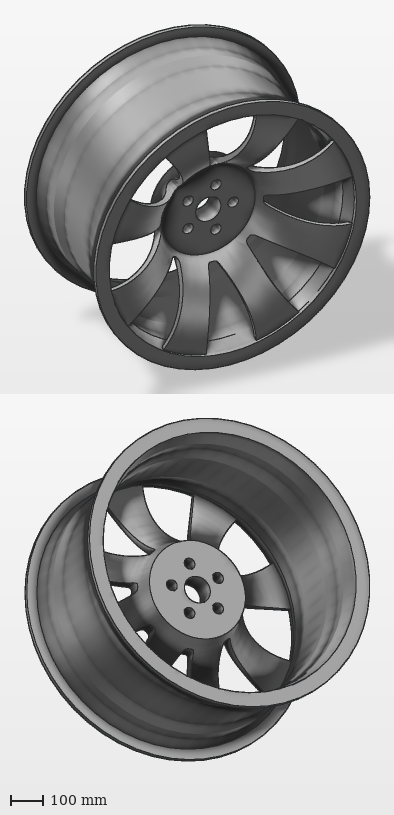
import cadquery as cq
import math

rim_radius = 478.0
rim_width = 489.0
flange_thickness = 14.0
flange_root_radius = 444.0
flange_bore_radius = 431.0
shelf_start = 62.0
shelf_end = 110.0
shelf_radius = 430.0
well_start = 162.0
well_radius = 419.0
wall_thickness = 14.0
shelf_bore_radius = shelf_radius - wall_thickness
well_bore_radius = well_radius - wall_thickness

hub_face_x = 244.0
hub_radius = 164.0
hub_thickness = 76.5
spoke_rim_x = 464.0
spoke_mid_x = 404.0
spoke_mid_radius = 255.0
spoke_mid_thickness = 24.0
spoke_rim_thickness = 14.0
spoke_outer_radius = 433.0

window_count = 8
window_root_radius = 179.0
window_root_fillet = 15.0
window_root_half_width = 15.0
window_mid_radius = 274.5
window_mid_half_width = 57.0
window_tip_radius = 440.0
window_tip_half_width = 89.0

bore_radius = 44.0
bolt_count = 5
bolt_circle_radius = 87.0
bolt_hole_radius = 18.0


def revolve_about_x(profile):
    return profile.close().revolve(360, (0, 0, 0), (1, 0, 0))


def mirrored(half_profile):
    """Extend (x, radius) points from one edge of the rim to the other edge."""
    return half_profile + [(rim_width - x, radius) for x, radius in reversed(half_profile)]


def make_barrel():
    outside = [
        (0, rim_radius),
        (flange_thickness, rim_radius),
        (flange_thickness, flange_root_radius),
        (shelf_start, shelf_radius),
        (shelf_end, shelf_radius),
        (well_start, well_radius),
    ]
    inside = [
        (0, flange_bore_radius),
        (flange_thickness, flange_bore_radius),
        (shelf_start, shelf_bore_radius),
        (shelf_end, shelf_bore_radius),
        (well_start, well_bore_radius),
    ]
    outline = mirrored(outside) + mirrored(inside)[::-1]
    return revolve_about_x(cq.Workplane("XY").polyline(outline))


def make_center():
    """Hub and one continuous dished web, before the windows are cut."""
    web = (
        cq.Workplane("XY")
        .moveTo(hub_face_x, 0)
        .lineTo(hub_face_x + hub_thickness, 0)
        .lineTo(hub_face_x + hub_thickness, hub_radius)
        .threePointArc(
            (spoke_mid_x + spoke_mid_thickness, spoke_mid_radius),
            (spoke_rim_x + spoke_rim_thickness, spoke_outer_radius),
        )
        .lineTo(spoke_rim_x, spoke_outer_radius)
        .threePointArc((spoke_mid_x, spoke_mid_radius), (hub_face_x, hub_radius))
    )
    return revolve_about_x(web)


def make_window():
    """Cutter along X with its axis of symmetry on +Z."""
    cutter = (
        cq.Workplane("YZ")
        .moveTo(-window_root_half_width, window_root_radius)
        .threePointArc(
            (-window_mid_half_width, window_mid_radius), (-window_tip_half_width, window_tip_radius)
        )
        .threePointArc((0, math.hypot(window_tip_half_width, window_tip_radius)),
                       (window_tip_half_width, window_tip_radius))
        .threePointArc(
            (window_mid_half_width, window_mid_radius), (window_root_half_width, window_root_radius)
        )
        .close()
        .extrude(rim_width)
    )
    return cutter.edges("|X").edges("<Z").fillet(window_root_fillet)


def make_hub_holes():
    holes = cq.Workplane("YZ").circle(bore_radius).extrude(rim_width)
    bolts = (
        cq.Workplane("YZ")
        .polarArray(bolt_circle_radius, 0, 360, bolt_count)
        .circle(bolt_hole_radius)
        .extrude(rim_width)
    )
    return holes.union(bolts)


center = make_center().cut(make_hub_holes())
window = make_window()
for index in range(window_count):
    center = center.cut(window.rotate((0, 0, 0), (1, 0, 0), index * 360 / window_count))

result = make_barrel().union(center)